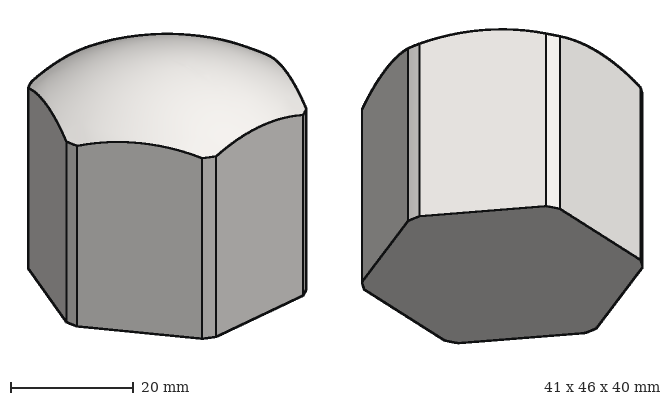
import cadquery as cq
import math

across_flats = 41.0
corner_diameter = 46.0
height = 40.0
dome_radius = height

across_corners = across_flats / math.cos(math.radians(30))
hexagon = (
    cq.Workplane("XY")
    .transformed(rotate=(0, 0, 90))
    .polygon(6, across_corners)
    .extrude(height)
)

corner_cylinder = cq.Workplane("XY").circle(corner_diameter / 2).extrude(height)

dome = cq.Workplane("XY").sphere(dome_radius)

result = hexagon.intersect(corner_cylinder).intersect(dome)